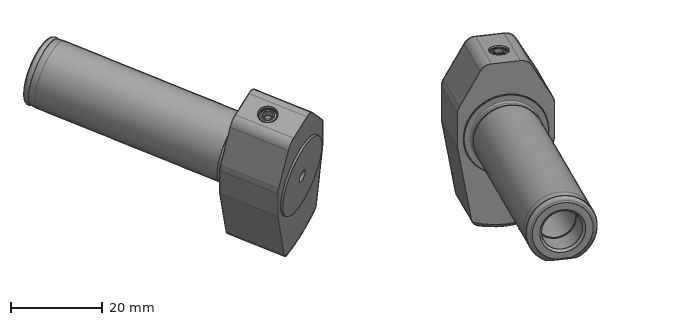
import cadquery as cq
import math

TOTAL_LENGTH = 65.0
SHAFT_RADIUS = 8.0

HEAD_FRONT = 50.2
HEAD_REAR = 64.5
HEAD_CENTRE = 56.5
HEAD_HALF_WIDTH = 11.0
HEAD_TOP = 17.5
HEAD_TOP_HALF_WIDTH = 5.0
SHOULDER_SLOPE = 30.0
TAPER_START = -2.0
TAPER_ANGLE = 10.0
TOP_FILLET = 3.0
BOTTOM_FILLET = 3.0

HEAD_BOTTOM_RADIUS = 23.0
BOTTOM_CHAMFER = 1.0
BOTTOM_REAR_ROUND = 0.8
GRIP_HALF_LENGTH = 5.3
GRIP_DEPTH = 0.4

PAD_RADIUS = 9.7
PAD_BEVEL = 0.15
FRONT_PAD_HEIGHT = 0.2

NOSE_FACE_RADIUS = 6.9
NOSE_EDGE_RADIUS = 7.3
NOSE_EDGE_LENGTH = 0.2
NOSE_CREST_X = 0.8
NOSE_CREST_RADIUS = 8.0
NOSE_LENGTH = 1.6
LEAD_IN_START_RADIUS = 7.85
LEAD_IN_END = 3.2

UNDERCUT_START = 48.0
UNDERCUT_RADIUS = 7.8
UNDERCUT_RAMP = 0.6
UNDERCUT_ROUND = 0.4

FLAT_Z = -7.0
FLAT_END = 45.1
FLAT_BEVEL_HEIGHT = 0.35

BORE_MOUTH_RADIUS = 5.2
BORE_MOUTH_DEPTH = 0.6
BORE_STEPS = [(4.65, 6.1), (4.5, 20.0), (4.0, 30.0), (3.45, 42.0)]
STEP_CONE_HALF_ANGLE = 45.0
DRILL_TIP_HALF_ANGLE = 59.0
DRILL_TIP_END_RADIUS = 2.25
OUTLET_ENTRY_RADIUS = 1.7
OUTLET_RADIUS = 1.5
OUTLET_ENTRY_DEPTH = 6.0

SCREW_HOLE_RIM_RADIUS = 2.25
SCREW_RADIUS = 2.0
SCREW_FACE_RADIUS = 1.5
SCREW_RECESS = 0.2
SCREW_BEVEL_HEIGHT = 0.4
SOCKET_RADIUS = 1.155
SOCKET_DEPTH = 2.0


def spin_about_x(profile):
    """Revolve a closed (X, radius) profile about the shaft axis."""
    return profile.close().revolve(360, (0, 0, 0), (1, 0, 0))


def make_shaft():
    """Round shaft with a rounded nose, a lead-in and an undercut at the head."""
    ramp_end = UNDERCUT_START + UNDERCUT_RAMP
    pad_face = HEAD_FRONT - FRONT_PAD_HEIGHT
    crest = (NOSE_CREST_X, NOSE_CREST_RADIUS)
    profile = (
        cq.Workplane("XY")
        .lineTo(0, NOSE_FACE_RADIUS)
        .lineTo(NOSE_EDGE_LENGTH, NOSE_EDGE_RADIUS)
        .threePointArc(crest, (NOSE_LENGTH, LEAD_IN_START_RADIUS))
        .lineTo(LEAD_IN_END, SHAFT_RADIUS)
        .lineTo(UNDERCUT_START, SHAFT_RADIUS)
        .lineTo(ramp_end, UNDERCUT_RADIUS)
        .lineTo(pad_face - UNDERCUT_ROUND, UNDERCUT_RADIUS)
        .radiusArc((pad_face, UNDERCUT_RADIUS + UNDERCUT_ROUND), -UNDERCUT_ROUND)
        .lineTo(HEAD_FRONT, UNDERCUT_RADIUS + UNDERCUT_ROUND)
        .lineTo(HEAD_FRONT, 0)
    )
    return spin_about_x(profile)


def make_flat_cutter():
    """Material below the flat, ending in a 45 degree run-out."""
    depth = 2 * SHAFT_RADIUS + FLAT_Z
    return (
        cq.Workplane("XZ")
        .moveTo(0, FLAT_Z + FLAT_BEVEL_HEIGHT)
        .lineTo(NOSE_EDGE_LENGTH, FLAT_Z)
        .lineTo(FLAT_END, FLAT_Z)
        .lineTo(FLAT_END + depth, FLAT_Z - depth)
        .lineTo(0, FLAT_Z - depth)
        .close()
        .extrude(SHAFT_RADIUS, both=True)
    )


def make_head_plate():
    """Tapered plate with rounded corners and an underside concentric with the shaft."""
    shoulder_drop = (HEAD_HALF_WIDTH - HEAD_TOP_HALF_WIDTH) / math.tan(math.radians(SHOULDER_SLOPE))
    shoulder_z = HEAD_TOP - shoulder_drop

    slope = math.tan(math.radians(TAPER_ANGLE))
    offset = HEAD_HALF_WIDTH - slope * TAPER_START
    root = math.sqrt(HEAD_BOTTOM_RADIUS**2 * (1 + slope**2) - offset**2)
    corner_z = (-offset * slope - root) / (1 + slope**2)
    corner_y = offset + slope * corner_z

    plate = (
        cq.Workplane("YZ", origin=(HEAD_FRONT, 0, 0))
        .moveTo(-HEAD_TOP_HALF_WIDTH, HEAD_TOP)
        .lineTo(HEAD_TOP_HALF_WIDTH, HEAD_TOP)
        .lineTo(HEAD_HALF_WIDTH, shoulder_z)
        .lineTo(HEAD_HALF_WIDTH, TAPER_START)
        .lineTo(corner_y, corner_z)
        .threePointArc((0, -HEAD_BOTTOM_RADIUS), (-corner_y, corner_z))
        .lineTo(-HEAD_HALF_WIDTH, TAPER_START)
        .lineTo(-HEAD_HALF_WIDTH, shoulder_z)
        .close()
        .extrude(HEAD_REAR - HEAD_FRONT)
    )
    top_edges = plate.edges("|X").filter(lambda edge: edge.Center().z > 0)
    plate = top_edges.fillet(TOP_FILLET)
    bottom_edges = plate.edges("|X").filter(lambda edge: edge.Center().z < corner_z / 2)
    return bottom_edges.fillet(BOTTOM_FILLET)


def make_underside_envelope():
    """Turned envelope giving the underside its front chamfer and rear round."""
    rim = HEAD_BOTTOM_RADIUS
    profile = (
        cq.Workplane("XY")
        .moveTo(HEAD_FRONT, 0)
        .lineTo(HEAD_FRONT, rim - BOTTOM_CHAMFER)
        .lineTo(HEAD_FRONT + BOTTOM_CHAMFER, rim)
        .lineTo(HEAD_REAR - BOTTOM_REAR_ROUND, rim)
        .radiusArc((HEAD_REAR, rim - BOTTOM_REAR_ROUND), BOTTOM_REAR_ROUND)
        .lineTo(HEAD_REAR, 0)
    )
    return spin_about_x(profile)


def make_grip_groove():
    """Shallow cylindrical hollow across the underside, running along Y."""
    return (
        cq.Workplane("XZ")
        .moveTo(HEAD_CENTRE - GRIP_HALF_LENGTH, -HEAD_BOTTOM_RADIUS)
        .threePointArc(
            (HEAD_CENTRE, GRIP_DEPTH - HEAD_BOTTOM_RADIUS),
            (HEAD_CENTRE + GRIP_HALF_LENGTH, -HEAD_BOTTOM_RADIUS),
        )
        .close()
        .extrude(HEAD_HALF_WIDTH, both=True)
    )


def make_pad(base_x, face_x):
    """Round bearing pad standing on the head, slightly smaller at its face."""
    profile = (
        cq.Workplane("XY")
        .moveTo(base_x, 0)
        .lineTo(base_x, PAD_RADIUS)
        .lineTo(face_x, PAD_RADIUS - PAD_BEVEL)
        .lineTo(face_x, 0)
    )
    return spin_about_x(profile)


def make_bore():
    """Stepped bore with conical transitions, opening to the rear through a small outlet."""
    step_slope = math.tan(math.radians(STEP_CONE_HALF_ANGLE))
    tip_slope = math.tan(math.radians(DRILL_TIP_HALF_ANGLE))

    profile = cq.Workplane("XY").lineTo(0, BORE_MOUTH_RADIUS)
    start_x = BORE_MOUTH_DEPTH
    for index, (radius, end_x) in enumerate(BORE_STEPS):
        profile = profile.lineTo(start_x, radius).lineTo(end_x, radius)
        if index + 1 < len(BORE_STEPS):
            start_x = end_x + (radius - BORE_STEPS[index + 1][0]) / step_slope

    last_radius, last_x = BORE_STEPS[-1]
    tip_x = last_x + (last_radius - DRILL_TIP_END_RADIUS) / tip_slope
    entry_x = tip_x + OUTLET_ENTRY_DEPTH
    outlet_x = entry_x + (OUTLET_ENTRY_RADIUS - OUTLET_RADIUS) / step_slope
    profile = (
        profile.lineTo(tip_x, DRILL_TIP_END_RADIUS)
        .lineTo(tip_x, OUTLET_ENTRY_RADIUS)
        .lineTo(entry_x, OUTLET_ENTRY_RADIUS)
        .lineTo(outlet_x, OUTLET_RADIUS)
        .lineTo(TOTAL_LENGTH, OUTLET_RADIUS)
        .lineTo(TOTAL_LENGTH, 0)
    )
    return spin_about_x(profile)


def make_screw_recess():
    """Countersunk rim and bevelled end of the set screw, with its drilled socket."""
    rim_depth = SCREW_HOLE_RIM_RADIUS - SCREW_RADIUS
    bevel_bottom = -SCREW_RECESS - SCREW_BEVEL_HEIGHT
    ring = (
        cq.Workplane("XZ")
        .lineTo(SCREW_HOLE_RIM_RADIUS, 0)
        .lineTo(SCREW_RADIUS, -rim_depth)
        .lineTo(SCREW_RADIUS, bevel_bottom)
        .lineTo(SCREW_FACE_RADIUS, -SCREW_RECESS)
        .lineTo(0, -SCREW_RECESS)
        .close()
        .revolve(360, (0, 0, 0), (0, 1, 0))
    )

    tip_depth = SOCKET_RADIUS / math.tan(math.radians(DRILL_TIP_HALF_ANGLE))
    socket = (
        cq.Workplane("XZ")
        .lineTo(SOCKET_RADIUS, 0)
        .lineTo(SOCKET_RADIUS, -SOCKET_DEPTH)
        .lineTo(0, -SOCKET_DEPTH - tip_depth)
        .close()
        .revolve(360, (0, 0, 0), (0, 1, 0))
    )
    return ring.union(socket).translate((HEAD_CENTRE, 0, HEAD_TOP))


shaft = make_shaft().cut(make_flat_cutter())
head = make_head_plate().intersect(make_underside_envelope()).cut(make_grip_groove())
front_pad = make_pad(HEAD_FRONT, HEAD_FRONT - FRONT_PAD_HEIGHT)
rear_pad = make_pad(HEAD_REAR, TOTAL_LENGTH)

body = head.union(front_pad).union(rear_pad).union(shaft)
result = body.cut(make_bore()).cut(make_screw_recess())